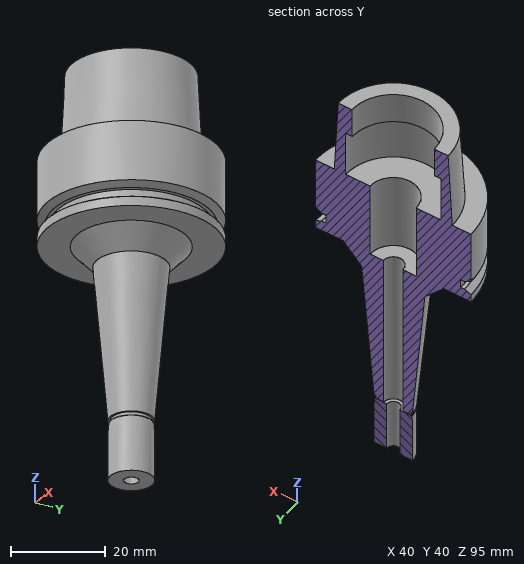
import cadquery as cq

nut_line_z = 11.3
nut_top_z = 13.1
nose_z = 14.0
taper_top_z = 50.1
flange_bottom_z = 55.0
flange_top_z = 75.05
total_height = 95.0

flange_radius = 40.0 / 2
shank_base_radius = 15.2
shank_top_radius = 14.2
shoulder_radius = 12.9
taper_top_radius = 8.2
nose_radius = 10.0 / 2
neck_radius = 4.6
nut_radius = 10.0 / 2
nut_rim_radius = 4.8

groove_radius = 17.4
groove_edge_radius = 18.3
groove_bottom_z = 57.95
groove_top_z = 60.0
lower_slope_height = 0.8
upper_slope_height = 1.0

mouth_radius = 10.5
mouth_depth = 8.0
chamber_radius = 12.2
chamber_floor_z = flange_top_z
middle_bore_radius = 5.9
middle_bore_bottom_z = flange_bottom_z
tool_bore_radius = 2.5
nut_hole_radius = 1.66


def revolve_profile(points):
    """Turn a closed (radius, height) outline once around the Z axis."""
    return cq.Workplane("XZ").polyline(points).close().revolve(360, (0, 0, 0), (0, 1, 0))


def make_holder():
    """Tapered shank, grooved flange and slender nose with a neck resting on the nut."""
    mouth_bottom_z = total_height - mouth_depth
    nose = [
        (tool_bore_radius, nut_top_z),
        (neck_radius, nut_top_z),
        (neck_radius, nose_z),
        (nose_radius, nose_z),
        (taper_top_radius, taper_top_z),
        (shoulder_radius, flange_bottom_z),
    ]
    flange = [
        (flange_radius, flange_bottom_z),
        (flange_radius, groove_bottom_z - lower_slope_height),
        (groove_edge_radius, groove_bottom_z),
        (groove_radius, groove_bottom_z),
        (groove_radius, groove_top_z),
        (groove_edge_radius, groove_top_z),
        (flange_radius, groove_top_z + upper_slope_height),
        (flange_radius, flange_top_z),
    ]
    shank = [
        (shank_base_radius, flange_top_z),
        (shank_top_radius, total_height),
    ]
    passage = [
        (mouth_radius, total_height),
        (mouth_radius, mouth_bottom_z),
        (chamber_radius, mouth_bottom_z),
        (chamber_radius, chamber_floor_z),
        (middle_bore_radius, chamber_floor_z),
        (middle_bore_radius, middle_bore_bottom_z),
        (tool_bore_radius, middle_bore_bottom_z),
    ]
    return revolve_profile(nose + flange + shank + passage)


def make_nut():
    """Clamping nut with a slightly tapered upper rim and a through hole."""
    return revolve_profile([
        (nut_hole_radius, 0),
        (nut_radius, 0),
        (nut_radius, nut_line_z),
        (nut_rim_radius, nut_top_z),
        (nut_hole_radius, nut_top_z),
    ])


holder = make_holder()
nut = make_nut()
result = cq.Compound.makeCompound([holder.val(), nut.val()])